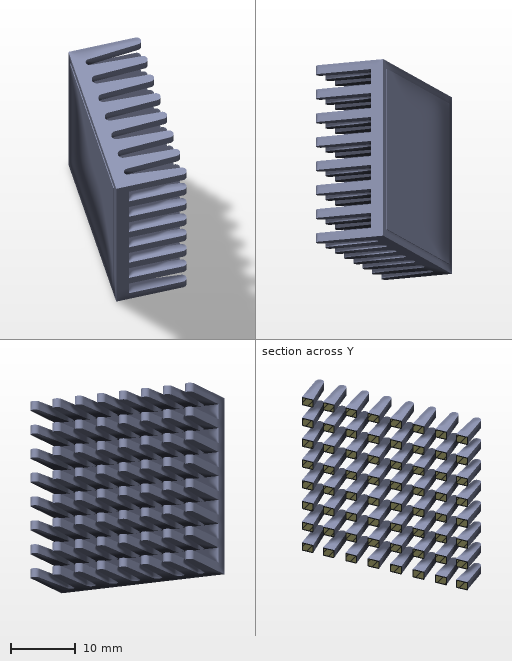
import cadquery as cq
import math

width = 27.95
body_depth = 11.4
base_thickness = 2.0

pad_width = 25.4
pad_thickness = 0.1

fin_count = 8
fin_thickness = 1.4
draft = math.radians(2.9)

pitch = (width - fin_thickness) / (fin_count - 1)
channel_width = pitch - fin_thickness
tip_radius = fin_thickness / 2
tip_y = body_depth - tip_radius
tip_drop = tip_y - base_thickness

fin_centers = [(i - (fin_count - 1) / 2) * pitch for i in range(fin_count)]


def inner_draft(fin):
    """Draft of a flank facing a neighbouring fin; an edge fin has all its taper on its one inner flank."""
    return 2 * draft if fin in (0, fin_count - 1) else draft


def root_circle(left_draft, right_draft):
    """Radius, and offset from the left fin center, of the circle touching both flanks and the floor."""
    drafts = (left_draft, right_draft)
    reach = sum((tip_radius + tip_drop * math.sin(a)) / math.cos(a) for a in drafts)
    growth = sum((1 - math.sin(a)) / math.cos(a) for a in drafts)
    radius = (pitch - reach) / growth
    rise = tip_drop - radius
    offset = (tip_radius + radius + rise * math.sin(left_draft)) / math.cos(left_draft)
    return radius, offset


def on_circle(center_x, center_y, radius, angle):
    """Point on a circle at an angle counted from +X."""
    return center_x + radius * math.cos(angle), center_y + radius * math.sin(angle)


def make_finned_body():
    """Comb profile in XY with rounded tips and roots, extruded along Z."""
    profile = cq.Workplane("XY").moveTo(-width / 2, 0).lineTo(-width / 2, tip_y)
    for fin, x in enumerate(fin_centers[:-1]):
        left_draft = inner_draft(fin)
        right_draft = inner_draft(fin + 1)
        root_radius, offset = root_circle(left_draft, right_draft)
        root_x = x + offset
        root_y = base_thickness + root_radius

        profile = (
            profile
            .threePointArc((x, body_depth), on_circle(x, tip_y, tip_radius, left_draft))
            .lineTo(*on_circle(root_x, root_y, root_radius, math.pi + left_draft))
            .threePointArc(
                (root_x, base_thickness),
                on_circle(root_x, root_y, root_radius, -right_draft),
            )
            .lineTo(*on_circle(x + pitch, tip_y, tip_radius, math.pi - right_draft))
        )
    return (
        profile
        .threePointArc((fin_centers[-1], body_depth), (width / 2, tip_y))
        .lineTo(width / 2, 0)
        .close()
        .extrude(width / 2, both=True)
    )


def make_cross_channels():
    """Straight channels along X that split the fins into rows of pins."""
    channel_depth = body_depth - base_thickness
    return (
        cq.Workplane("XY")
        .pushPoints([(0, 0, z + pitch / 2) for z in fin_centers[:-1]])
        .box(width, channel_depth, channel_width)
        .translate((0, base_thickness + channel_depth / 2, 0))
    )


def make_pad():
    """Thin square pad standing proud of the flat mounting face."""
    pad = cq.Workplane("XY").box(pad_width, pad_thickness, pad_width)
    return pad.translate((0, -pad_thickness / 2, 0))


result = make_finned_body().cut(make_cross_channels()).union(make_pad())